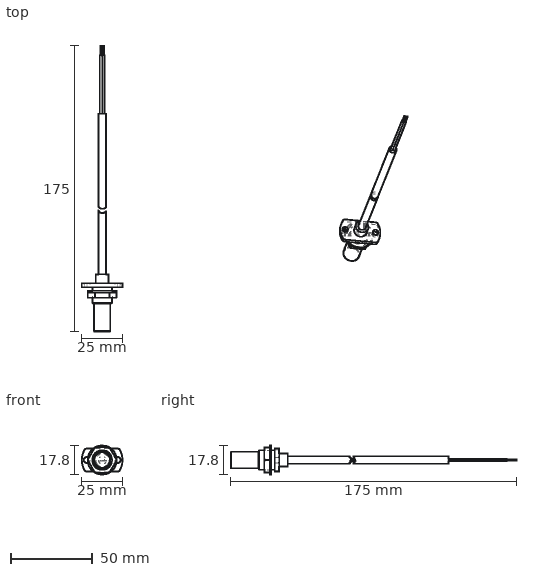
import cadquery as cq
import math


total_length = 175.0
thread_front = 17.5
nut_front = 20.6
washer_front = 23.8
washer_back = 24.8
flange_front = 27.0
flange_back = 29.5
hub_back = 35.0
break_low = 74.2
break_gap = 2.5
sheath_end = 133.4
insulation_end = 169.0

tip_diameter = 10.2
thread_diameter = 12.0
tip_chamfer = 0.4
thread_lead_in = 0.61
hub_diameter = 8.0

flange_width = 25.0
flange_height = 14.2
flange_corner_radius = 1.8
flange_hole_diameter = 3.5
flange_hole_spacing = 18.9

washer_diameter = 17.8
nut_across_flats = 15.4
nut_across_corners = nut_across_flats / math.cos(math.pi / 6)
nut_corner_diameter = 17.7
nut_chamfer = 0.26

cable_diameter = 4.7
break_depth = 1.66
break_drop = 0.5
break_offset = 0.4
wire_diameter = 1.49
wire_spacing = 1.49
conductor_diameter = 0.9


def section(y):
    """Workplane across the axis at height y, normal to +Y, with local y = +Z."""
    return cq.Workplane(cq.Plane(origin=(0, y, 0), xDir=(-1, 0, 0), normal=(0, 1, 0)))


def rod(diameter, y_start, y_end, x=0):
    """Solid cylinder along Y, offset sideways by x."""
    return section(y_start).center(-x, 0).circle(diameter / 2).extrude(y_end - y_start)


def break_block(y_edge, y_far):
    """Block between the curved break profile and the plane y_far."""
    r = cable_diameter / 2
    return (
        cq.Workplane("XY")
        .moveTo(-r, y_edge)
        .threePointArc((break_offset, y_edge - break_depth), (r, y_edge - break_drop))
        .lineTo(r, y_far)
        .lineTo(-r, y_far)
        .close()
        .extrude(r, both=True)
    )


def make_flange():
    """Round-ended plate with rounded corners and two screw holes."""
    thickness = flange_back - flange_front
    slab = section(flange_front).rect(flange_width, flange_height).extrude(thickness)
    plate = rod(flange_width, flange_front, flange_back).intersect(slab)
    plate = plate.edges("|Y").fillet(flange_corner_radius)
    for side in (-1, 1):
        plate = plate.cut(
            rod(flange_hole_diameter, flange_front, flange_back, side * flange_hole_spacing / 2)
        )
    return plate


def make_housing():
    """Sensor housing with its flange and the attached length of cable."""
    step = (thread_diameter - tip_diameter) / 2
    thread = rod(thread_diameter, thread_front - thread_lead_in, flange_back)
    thread = thread.faces("<Y").chamfer(thread_lead_in, step)
    tip = rod(tip_diameter, 0, thread_front).faces("<Y").chamfer(tip_chamfer)
    cable = rod(cable_diameter, hub_back, break_low).cut(
        break_block(break_low, break_low + cable_diameter)
    )
    return (
        tip.union(thread)
        .union(make_flange())
        .union(rod(hub_diameter, flange_back, hub_back))
        .union(cable)
    )


def make_nut():
    """Hexagon nut with chamfered front corners."""
    height = washer_front - nut_front
    hexagon = section(nut_front).polygon(6, nut_across_corners).extrude(height)
    envelope = rod(nut_corner_diameter, nut_front, washer_front).faces("<Y").chamfer(nut_chamfer)
    return hexagon.intersect(envelope).cut(rod(thread_diameter, nut_front, washer_front))


def make_washer():
    """Flat washer behind the nut."""
    return rod(washer_diameter, washer_front, washer_back).cut(
        rod(thread_diameter, washer_front, washer_back)
    )


def make_cable_end():
    """Free length of cable with two insulated wires and their bare conductors."""
    break_edge = break_low + break_gap
    cable = rod(cable_diameter, break_low, sheath_end).intersect(
        break_block(break_edge, sheath_end)
    )
    for side in (-1, 1):
        x = side * wire_spacing / 2
        cable = cable.union(rod(wire_diameter, sheath_end, insulation_end, x))
        cable = cable.union(rod(conductor_diameter, insulation_end, total_length, x))
    return cable


housing = make_housing()
nut = make_nut()
washer = make_washer()
cable_end = make_cable_end()

result = cq.Compound.makeCompound([housing.val(), nut.val(), washer.val(), cable_end.val()])